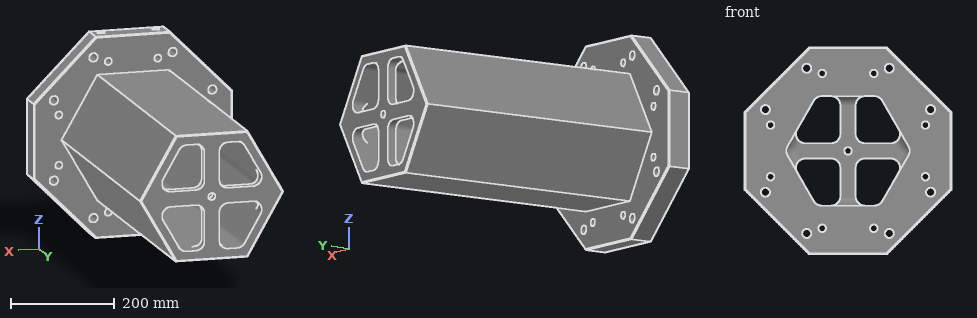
import cadquery as cq
import math

total_length = 586.5
flange_width = 400.0
flange_flat = 149.5
flange_thickness = 50.0
edge_chamfer = 2.05

wall_thickness = 19.5
tube_across_flats = 250.0
bore_across_flats = tube_across_flats - 2 * wall_thickness
end_plate_thickness = wall_thickness
bore_corner_radius = 17.5
bore_floor_radius = 18.0
window_corner_radius = 17.5
rib_width = 30.0

large_hole_diameter = 17.0
large_hole_near = 80.0
large_hole_far = 2 * large_hole_near
small_hole_diameter = 14.0
small_hole_near = 50.0
small_hole_far = 3 * small_hole_near
side_hole_diameter = small_hole_diameter
side_hole_spacing = 110.0
side_hole_setback = 18.0
side_hole_depth = 30.0
drill_point_angle = 118.0

front_y = -total_length / 2
flange_back_y = front_y + flange_thickness
back_y = total_length / 2
bore_floor_y = back_y - end_plate_thickness


def section_at(y):
    """Sketch plane across the tube whose normal points to +Y (local x = -X, local y = Z)."""
    return cq.Workplane(cq.Plane(origin=(0, y, 0), xDir=(-1, 0, 0), normal=(0, 1, 0)))


def hexagon_prism(across_flats, start_y, end_y):
    """Hexagonal prism with two corners on the X axis."""
    across_corners = across_flats / math.cos(math.pi / 6)
    return section_at(start_y).polygon(6, across_corners).extrude(end_y - start_y)


def make_flange():
    corner_cut = (flange_width - flange_flat) / 2
    block = section_at(front_y).rect(flange_width, flange_width).extrude(flange_thickness)
    octagon = block.edges("|Y").chamfer(corner_cut)
    return octagon.faces("<Y or >Y").edges().chamfer(edge_chamfer)


def make_tube():
    tube = hexagon_prism(tube_across_flats, flange_back_y, back_y)
    return tube.faces(">Y").edges().chamfer(edge_chamfer)


def make_bore():
    bore = hexagon_prism(bore_across_flats, front_y, bore_floor_y)
    return bore.edges("|Y").fillet(bore_corner_radius).faces(">Y").edges().fillet(bore_floor_radius)


def make_windows():
    """Four openings: the bore hexagon minus a cross, with every corner rounded."""
    start_y = bore_floor_y - bore_floor_radius
    depth = back_y - start_y
    hexagon = hexagon_prism(bore_across_flats, start_y, back_y)
    upright = section_at(start_y).rect(rib_width, flange_width).extrude(depth)
    crossbar = section_at(start_y).rect(flange_width, rib_width).extrude(depth)
    return hexagon.cut(upright).cut(crossbar).edges("|Y").fillet(window_corner_radius)


def make_flange_holes(diameter, near, far):
    """Eight through holes, two beside each axis-aligned side of the flange."""
    points = []
    for sign_x in (-1, 1):
        for sign_z in (-1, 1):
            points.append((sign_x * near, sign_z * far))
            points.append((sign_x * far, sign_z * near))
    return section_at(front_y).pushPoints(points).circle(diameter / 2).extrude(flange_thickness)


def make_side_hole(x):
    """Blind drilled hole, with a conical bottom, in the top side of the flange."""
    radius = side_hole_diameter / 2
    top_z = flange_width / 2
    shoulder_z = top_z - side_hole_depth
    tip_z = shoulder_z - radius / math.tan(math.radians(drill_point_angle / 2))
    profile = [(0, top_z), (radius, top_z), (radius, shoulder_z), (0, tip_z)]
    drill = cq.Workplane("XZ").polyline(profile).close().revolve(360, (0, 0, 0), (0, 1, 0))
    return drill.translate((x, front_y + side_hole_setback, 0))


result = make_flange().union(make_tube())
result = result.cut(make_bore()).cut(make_windows())
result = result.cut(section_at(bore_floor_y).circle(small_hole_diameter / 2).extrude(end_plate_thickness))
result = result.cut(make_flange_holes(large_hole_diameter, large_hole_near, large_hole_far))
result = result.cut(make_flange_holes(small_hole_diameter, small_hole_near, small_hole_far))
for side in (-1, 1):
    result = result.cut(make_side_hole(side * side_hole_spacing / 2))